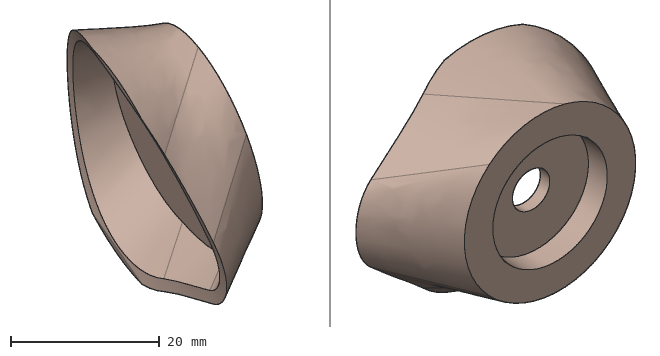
import cadquery as cq
import math

depth = 14.0
back_radius = 15.0
inner_back_radius = 13.4

rim_diameter = 39.9
rim_radius = rim_diameter / 2
inner_rim_radius = 18.35
nose_offset = 19.4
nose_radius = 7.95
inner_nose_radius = 5.95
nose_split_angle = 45.0
large_arc_split_angle = 100.0

saddle_depth = 11.05
flat_half_height = 18.75

floor_depth = 6.0
floor_thickness = 2.0
bore_diameter = 6.5
recess_diameter = 20.0
cutter_span = 4 * rim_radius


def polar(radius, degrees, center_x=0.0):
    angle = math.radians(degrees)
    return (center_x + radius * math.cos(angle), radius * math.sin(angle))


def four_part_outline(plane, corners, middles):
    """Closed outline: nose, upper side, large arc, lower side; a middle of None means a line."""
    outline = plane.moveTo(*corners[0])
    for middle, end in zip(middles, corners[1:] + corners[:1]):
        outline = outline.lineTo(*end) if middle is None else outline.threePointArc(middle, end)
    return outline.close().wire().val()


def cup_body(circle_radius, large_radius, small_radius):
    """Ruled solid from a circle at the back to a teardrop at the open end."""
    split_angles = (-nose_split_angle, nose_split_angle, large_arc_split_angle, -large_arc_split_angle)
    circle_corners = [polar(circle_radius, a) for a in split_angles]
    side_middle = (nose_split_angle + large_arc_split_angle) / 2
    circle_middles = [polar(circle_radius, a) for a in (0, side_middle, 180, -side_middle)]

    tangent = math.degrees(math.acos((large_radius - small_radius) / nose_offset))
    teardrop_corners = [
        polar(small_radius, -tangent, nose_offset),
        polar(small_radius, tangent, nose_offset),
        polar(large_radius, tangent),
        polar(large_radius, -tangent),
    ]
    teardrop_middles = [polar(small_radius, 0, nose_offset), None, polar(large_radius, 180), None]

    back = four_part_outline(cq.Workplane("XZ"), circle_corners, circle_middles)
    front_plane = cq.Workplane("XZ", origin=(0, -depth, 0))
    front = four_part_outline(front_plane, teardrop_corners, teardrop_middles)
    return cq.Workplane(cq.Solid.makeLoft([back, front], True))


def cylinder_along_y(diameter, start_depth, end_depth):
    plane = cq.Workplane("XZ", origin=(0, -start_depth, 0))
    return plane.circle(diameter / 2).extrude(end_depth - start_depth)


def saddle_cutter():
    """Cylinder along X that hollows the rim between the two flats."""
    sag = depth - saddle_depth
    radius = (flat_half_height ** 2 + sag ** 2) / (2 * sag)
    plane = cq.Workplane("YZ", origin=(-cutter_span / 2, 0, 0))
    return plane.center(-saddle_depth - radius, 0).circle(radius).extrude(cutter_span)


outer = cup_body(back_radius, rim_radius, nose_radius)
cavity = cup_body(inner_back_radius, inner_rim_radius, inner_nose_radius)
cavity = cavity.cut(cylinder_along_y(cutter_span, 0, floor_depth))

result = outer.cut(cavity).cut(saddle_cutter())
result = result.cut(cylinder_along_y(recess_diameter, 0, floor_depth - floor_thickness))
result = result.cut(cylinder_along_y(bore_diameter, 0, floor_depth))